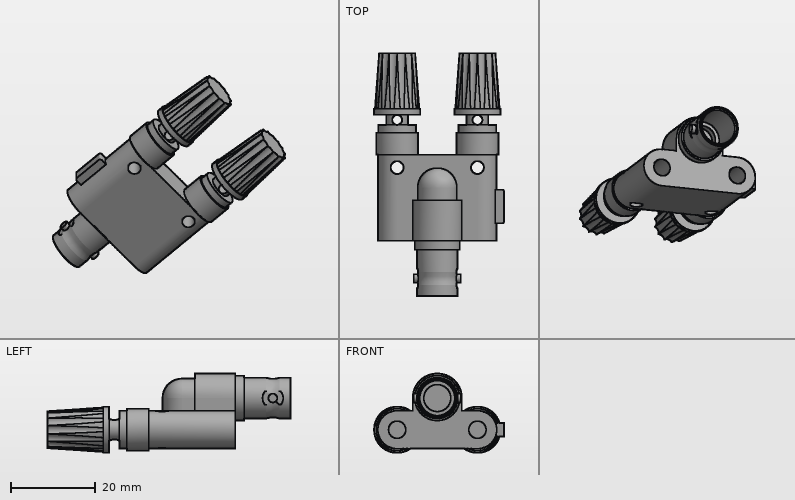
import cadquery as cq
import math


post_pitch = 19.05
post_x = post_pitch / 2
housing_length = 20.5
housing_half_height = 4.5
housing_half_width = 14.1
socket_radius = 2.05
socket_depth = 13.0
cross_hole_radius = 1.5
cross_hole_y = 17.4

coax_z = 7.5
hump_radius = 5.86
hump_length = 9.6
dome_radius = 4.65
dome_start_y = 12.65

tab_reach_x = 15.835
tab_start_y = 4.15
tab_length = 8.05
tab_thickness = 3.3
tab_corner_radius = 0.5

collar_radius = 5.0
collar_length = 5.2
shoulder_radius = 4.5
shoulder_length = 1.8
stem_radius = 2.6
stem_length = 2.4
stem_hole_radius = 1.15
knob_radius = 5.5
knob_rim_length = 1.45
grip_base_radius = 5.3
grip_tip_radius = 4.4
grip_length = 13.2

flute_count = 14
flute_radius = 1.4
flute_base_half_width = 0.45
flute_overrun = 0.5

flange_radius = 5.35
flange_length = 2.1
barrel_radius = 4.85
barrel_length = 10.99
bore_radius = 4.15
bore_chamfer = 0.35
rear_bore_radius = 3.2
groove_width = 3.13
groove_depth = 0.25
groove_to_tip = 4.2
lug_radius = 1.05
lug_reach = 5.6
lug_seat_radius = 2.45
lug_seat_x = 4.58

collar_y = housing_length
shoulder_y = collar_y + collar_length
stem_y = shoulder_y + shoulder_length
rim_y = stem_y + stem_length
grip_y = rim_y + knob_rim_length
connector_tip_y = -(flange_length + barrel_length)
lug_y = connector_tip_y + groove_to_tip


def rod(radius, length, x, y, z):
    """Cylinder along +Y whose front end is centred on (x, y, z)."""
    return cq.Workplane(cq.Solid.makeCylinder(radius, length, cq.Vector(x, y, z), cq.Vector(0, 1, 0)))


def upright(radius, height, x, y, z):
    """Cylinder along +Z whose lower end is centred on (x, y, z)."""
    return cq.Workplane(cq.Solid.makeCylinder(radius, height, cq.Vector(x, y, z)))


def make_block():
    """Flat block with rounded sides."""
    side_x = housing_half_width - housing_half_height
    return (
        cq.Workplane("XZ")
        .moveTo(-side_x, -housing_half_height)
        .lineTo(side_x, -housing_half_height)
        .threePointArc((housing_half_width, 0), (side_x, housing_half_height))
        .lineTo(-side_x, housing_half_height)
        .threePointArc((-housing_half_width, 0), (-side_x, -housing_half_height))
        .close()
        .extrude(-housing_length)
    )


def make_hump():
    """Arched hump at the front with a narrower, dome-ended part behind it."""
    arch = rod(hump_radius, hump_length, 0, 0, coax_z)
    arch_walls = cq.Workplane("XY").box(
        2 * hump_radius, hump_length, coax_z, centered=(True, False, False)
    )
    neck = rod(dome_radius, dome_start_y, 0, 0, coax_z)
    neck_walls = cq.Workplane("XY").box(
        2 * dome_radius, dome_start_y, coax_z, centered=(True, False, False)
    )
    dome = cq.Workplane("XY").sphere(dome_radius).translate((0, dome_start_y, coax_z))
    dome_wall = upright(dome_radius, coax_z, 0, dome_start_y, 0)
    return arch.union(arch_walls).union(neck).union(neck_walls).union(dome).union(dome_wall)


def make_tab():
    """Label tab, rooted inside the block's rounded side."""
    tab_width = tab_reach_x - post_x - socket_radius
    return (
        cq.Workplane("XY")
        .box(tab_width, tab_length, tab_thickness, centered=(False, False, True))
        .edges("|Z and >X")
        .fillet(tab_corner_radius)
        .translate((tab_reach_x - tab_width, tab_start_y, 0))
    )


def make_grip():
    """Tapered, fluted knob grip on the Y axis, with its base at Y = 0."""
    grip = (
        cq.Workplane("XY")
        .moveTo(0, 0)
        .lineTo(grip_base_radius, 0)
        .lineTo(grip_tip_radius, grip_length)
        .lineTo(0, grip_length)
        .close()
        .revolve(360, (0, 0, 0), (0, 1, 0))
    )
    half_pitch = math.pi / flute_count
    tip_half_width = grip_tip_radius * math.sin(half_pitch)
    tip_offset = grip_tip_radius * math.cos(half_pitch) + math.sqrt(flute_radius**2 - tip_half_width**2)
    base_offset = math.sqrt(grip_base_radius**2 - flute_base_half_width**2) + math.sqrt(
        flute_radius**2 - flute_base_half_width**2
    )
    slope = (tip_offset - base_offset) / grip_length
    cutter = cq.Solid.makeCylinder(
        flute_radius,
        (grip_length + 2 * flute_overrun) * math.hypot(1, slope),
        cq.Vector(0, -flute_overrun, base_offset - slope * flute_overrun),
        cq.Vector(0, 1, slope),
    )
    for index in range(flute_count):
        angle = math.degrees(half_pitch) * (2 * index + 1)
        grip = grip.cut(cq.Workplane(cutter.rotate(cq.Vector(0, 0, 0), cq.Vector(0, 1, 0), angle)))
    return grip


def make_post(x, grip):
    """Binding post at the given X: collar, shoulder, drilled stem and knob."""
    stem_hole = upright(
        stem_hole_radius, 2 * stem_radius, x, stem_y + stem_length / 2, -stem_radius
    )
    return (
        rod(collar_radius, collar_length, x, collar_y, 0)
        .union(rod(shoulder_radius, shoulder_length, x, shoulder_y, 0))
        .union(rod(stem_radius, stem_length, x, stem_y, 0))
        .union(rod(knob_radius, knob_rim_length, x, rim_y, 0))
        .union(grip.translate((x, grip_y, 0)))
        .cut(stem_hole)
    )


def make_housing():
    """Housing with hump, label tab and both binding posts."""
    body = make_block().union(make_hump()).union(make_tab())
    grip = make_grip()
    for x in (-post_x, post_x):
        body = body.union(make_post(x, grip))
        body = body.cut(rod(socket_radius, socket_depth, x, 0, 0))
        body = body.cut(
            upright(cross_hole_radius, 2 * housing_half_height, x, cross_hole_y, -housing_half_height)
        )
    return body


def make_lug(side):
    """Bayonet lug on the side given by the sign, rooted in the barrel wall."""
    root_x = (bore_radius + lug_seat_x) / 2
    return cq.Workplane(
        cq.Solid.makeCylinder(
            lug_radius, lug_reach - root_x, cq.Vector(side * root_x, lug_y, 0), cq.Vector(side, 0, 0)
        )
    )


def make_lug_seat(side):
    """Cutter for the round flat seat about a bayonet lug."""
    return cq.Workplane(
        cq.Solid.makeCylinder(
            lug_seat_radius,
            lug_reach - lug_seat_x,
            cq.Vector(side * lug_seat_x, lug_y, 0),
            cq.Vector(side, 0, 0),
        )
    )


def make_groove():
    """Cutter for the shallow round-bottomed groove about the barrel."""
    return (
        cq.Workplane("XY")
        .moveTo(barrel_radius, lug_y - groove_width / 2)
        .threePointArc(
            (barrel_radius - groove_depth, lug_y), (barrel_radius, lug_y + groove_width / 2)
        )
        .lineTo(lug_reach, lug_y + groove_width / 2)
        .lineTo(lug_reach, lug_y - groove_width / 2)
        .close()
        .revolve(360, (0, 0, 0), (0, 1, 0))
    )


def make_connector():
    """Bayonet coax connector, open at the front and seated on the housing."""
    body = (
        rod(flange_radius, flange_length, 0, -flange_length, 0)
        .union(rod(barrel_radius, barrel_length, 0, connector_tip_y, 0))
        .cut(rod(bore_radius, barrel_length, 0, connector_tip_y, 0))
        .cut(rod(rear_bore_radius, flange_length, 0, -flange_length, 0))
    )
    mouth = cq.Workplane(
        cq.Solid.makeCone(
            bore_radius + bore_chamfer,
            bore_radius,
            bore_chamfer,
            cq.Vector(0, connector_tip_y, 0),
            cq.Vector(0, 1, 0),
        )
    )
    body = body.cut(mouth).cut(make_groove())
    for side in (-1, 1):
        body = body.cut(make_lug_seat(side))
        body = body.union(make_lug(side))
    return body.translate((0, 0, coax_z))


housing = make_housing()
connector = make_connector()

result = cq.Compound.makeCompound([housing.val(), connector.val()])